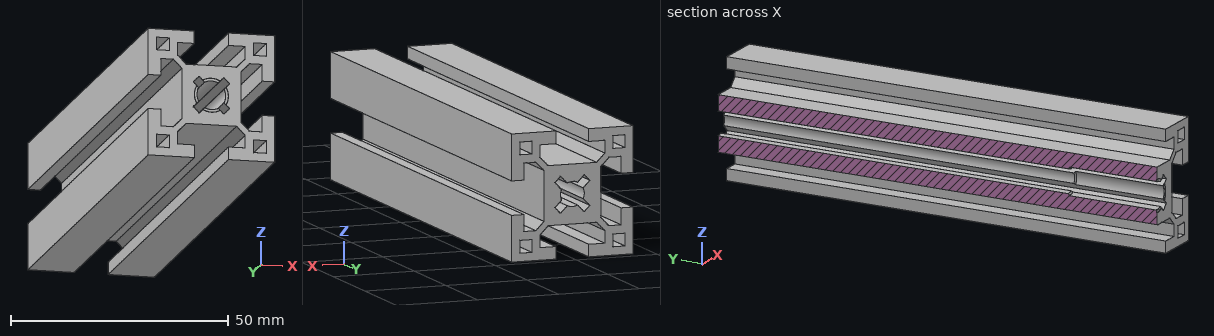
import cadquery as cq
import math

LENGTH = 115.0
WIDTH = 30.0

SLOT_OPENING = 8.0
SLOT_INNER_WIDTH = 16.0
LIP_THICKNESS = 3.0
CORE_WIDTH = 14.0
WEB_THICKNESS = 1.5

CORNER_HOLE_WIDTH = 3.0
CORNER_HOLE_OFFSET = 11.5

COUNTERBORE_DIAMETER = 8.0
COUNTERBORE_DEPTH = 0.1
DRILL_DIAMETER = 6.8
DRILL_DEPTH = 23.0
DRILL_TIP_ANGLE = 118.0
BORE_DIAMETER = 5.9

CROSS_SLOT_LENGTH = 10.2
CROSS_SLOT_WIDTH = 2.0

FRONT_Y = -LENGTH / 2


def profile_plane(depth=0.0):
    """Sketch plane at the given depth from the front end; extrusion runs toward +Y."""
    return cq.Workplane(cq.Plane((0, FRONT_Y + depth, 0), xDir=(-1, 0, 0), normal=(0, 1, 0)))


def bar(width, height):
    """Rectangular bar of full length, centred on the part axis."""
    return profile_plane().rect(width, height).extrude(LENGTH)


def turned(solid, angle):
    """Copy turned about the part axis."""
    return solid.rotate((0, 0, 0), (0, 1, 0), angle)


def make_frame():
    """Outer square, hollowed behind its lips and opened in the middle of each side."""
    hollow_width = WIDTH - 2 * LIP_THICKNESS
    frame = bar(WIDTH, WIDTH)
    for angle in (0, 90):
        frame = frame.cut(turned(bar(hollow_width, SLOT_INNER_WIDTH), angle))
        frame = frame.cut(turned(bar(WIDTH, SLOT_OPENING), angle))
    hole_places = [
        (x, z)
        for x in (-CORNER_HOLE_OFFSET, CORNER_HOLE_OFFSET)
        for z in (-CORNER_HOLE_OFFSET, CORNER_HOLE_OFFSET)
    ]
    corner_holes = profile_plane().pushPoints(hole_places).rect(CORNER_HOLE_WIDTH, CORNER_HOLE_WIDTH)
    return frame.cut(corner_holes.extrude(LENGTH))


def make_core():
    """Central square with diagonal webs reaching into the corner blocks."""
    core = bar(CORE_WIDTH, CORE_WIDTH)
    web_length = math.sqrt(2) * SLOT_INNER_WIDTH + WEB_THICKNESS
    for angle in (45, -45):
        core = core.union(turned(bar(web_length, WEB_THICKNESS), angle))
    return core


def make_bore():
    """Everything removed along the part axis."""
    bore = profile_plane().circle(BORE_DIAMETER / 2).extrude(LENGTH)
    counterbore = profile_plane().circle(COUNTERBORE_DIAMETER / 2).extrude(COUNTERBORE_DEPTH)
    drilled = profile_plane().circle(DRILL_DIAMETER / 2).extrude(DRILL_DEPTH)
    radius_step = (DRILL_DIAMETER - BORE_DIAMETER) / 2
    cone_length = radius_step / math.tan(math.radians(DRILL_TIP_ANGLE / 2))
    cone = (
        profile_plane(DRILL_DEPTH)
        .circle(DRILL_DIAMETER / 2)
        .workplane(offset=cone_length)
        .circle(BORE_DIAMETER / 2)
        .loft()
    )
    bore = bore.union(counterbore).union(drilled).union(cone)
    for angle in (45, -45):
        bore = bore.union(turned(bar(CROSS_SLOT_LENGTH, CROSS_SLOT_WIDTH), angle))
    return bore


result = make_frame().union(make_core()).cut(make_bore())